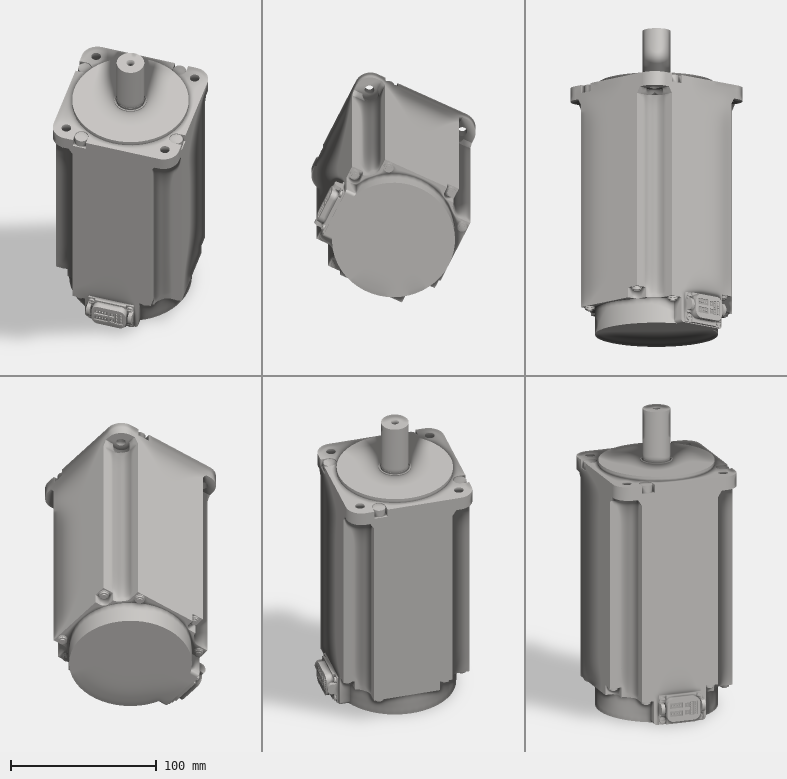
import cadquery as cq
import math

BODY_SIZE = 90.0
HALF = BODY_SIZE / 2
TOTAL_HEIGHT = 212.9
BODY_BOTTOM = 17.2
FLANGE_TOP = 172.8
FLANGE_THICKNESS = 9.6
FLANGE_BOTTOM = FLANGE_TOP - FLANGE_THICKNESS
CORNER_RADIUS = 11.0

PILOT_DIAMETER = 80.0
PILOT_HEIGHT = 3.1
PILOT_TOP = FLANGE_TOP + PILOT_HEIGHT
SHAFT_DIAMETER = 19.0
SEAL_DIAMETER = 22.4
SEAL_INNER_DIAMETER = 20.4
SEAL_HEIGHT = 0.7
SEAL_RECESS_DEPTH = 0.8
SHAFT_GROOVE_BASE = 1.6
SHAFT_GROOVE_WIDTH = 0.8
SHAFT_GROOVE_DEPTH = 0.15
CENTER_HOLE_DIAMETER = 2.6
CENTER_HOLE_DEPTH = 10.0
CENTER_SINK_DIAMETER = 5.6
CENTER_SINK_ANGLE = 60.0

BOLT_CIRCLE = 100.0
BOLT_HOLE_DIAMETER = 6.6
BOLT_OFFSET = BOLT_CIRCLE / 2 * math.sin(math.pi / 4)

FLUTE_WALL = 28.1
FLUTE_FACE_MIDDLE = 31.15
FLUTE_FILLET = 6.5
FLUTE_RUNOUT = 4.2
FLUTE_RUNOUT_INSET = 2.7
FLUTE_RUNOUT_RADIUS = 5.7
FLUTE_OVERRUN = 20.0

TOP_SCREW_OFFSET = 23.1
TOP_SCREW_RADIAL = 39.8
TOP_POCKET_WIDTH = 9.4
TOP_POCKET_DEPTH = 5.7
TOP_HEAD_DIAMETER = 9.0
TOP_HEAD_SINK = 0.4
REAR_SCREW_OFFSET = 23.4
REAR_SCREW_RADIAL = 40.9
REAR_POCKET_RADIUS = 4.2
REAR_POCKET_HEIGHT = 7.0
REAR_HEAD_STEPS = ((7.2, 0.8), (6.4, 1.1), (4.0, 0.8))

CAP_DIAMETER = 84.4
BASE_WIDTH = 38.0
BASE_INNER = 30.0
BASE_BOTTOM_FILLET = 2.2

PLATE_WIDTH = 32.4
PLATE_BOTTOM = 0.5
PLATE_TOP = 21.1
PLATE_THICKNESS = 2.8
PLATE_CENTER = (PLATE_TOP + PLATE_BOTTOM) / 2
PLATE_CORNER_WIDTH = 5.2
PLATE_CORNER_HEIGHT = 6.4
PLATE_CORNER_DEPTH = 1.6
CONNECTOR_SCREW_DIAMETER = 4.4
CONNECTOR_SCREW_HEIGHT = 1.4
CONNECTOR_SCREW_SLOT = 0.8
SHELL_WIDTH = 24.4
SHELL_BOTTOM = 3.3
SHELL_TOP = 19.8
SHELL_RADIUS = 4.8
SHELL_REACH = 7.5
LEVER_WIDTH = 2.6
LEVER_REACH = 7.65
LEVER_SHOULDER = 5.6
LEVER_BOTTOM = 8.3
LEVER_TOP = 16.2
SOCKET_DEPTH = 1.0
PIN_SIZE = 0.8
POWER_PIN_PITCH = 2.0
SIGNAL_PIN_PITCH = 1.5
SOCKETS = (
    (-10.2, -0.6, 12.7, 16.7, 4, 1, POWER_PIN_PITCH),
    (-10.2, -0.6, 6.9, 10.9, 4, 1, POWER_PIN_PITCH),
    (0.8, 4.0, 12.7, 16.0, 1, 1, POWER_PIN_PITCH),
    (0.8, 4.0, 7.5, 10.8, 1, 1, POWER_PIN_PITCH),
    (4.4, 7.1, 6.9, 16.7, 1, 6, SIGNAL_PIN_PITCH),
    (7.6, 10.3, 6.9, 16.7, 1, 6, SIGNAL_PIN_PITCH),
)


def cylinder(diameter, bottom, height, x=0.0, y=0.0):
    """Vertical cylinder standing on the height `bottom`."""
    return cq.Workplane("XY", origin=(x, y, bottom)).circle(diameter / 2).extrude(height)


def block(x_min, x_max, y_min, y_max, z_min, z_max):
    """Axis-aligned box between the given limits."""
    size = (x_max - x_min, y_max - y_min, z_max - z_min)
    return cq.Workplane("XY", origin=(x_min, y_min, z_min)).box(*size, centered=False)


def around(shape):
    """Union of four copies of a shape, a quarter turn apart about Z."""
    copies = shape
    for quarter in range(1, 4):
        copies = copies.union(shape.rotate((0, 0, 0), (0, 0, 1), 90 * quarter))
    return copies


def flute_cutter():
    """Corner flute: two walls and a filleted 45 degree face, ending in sloped walls at the top."""
    run = FLUTE_FILLET * math.sin(math.pi / 4)
    drop = FLUTE_FILLET - run
    face_near = FLUTE_WALL + drop
    face_far = 2 * FLUTE_FACE_MIDDLE - face_near
    arc_end = face_far + run
    mid_run = FLUTE_FILLET * math.sin(math.pi / 8)
    mid_drop = FLUTE_FILLET * (1 - math.cos(math.pi / 8))
    middle = (FLUTE_WALL + mid_drop, arc_end - mid_run)
    outside = HALF + FLUTE_OVERRUN
    runout_start = FLANGE_BOTTOM - FLUTE_RUNOUT
    straight = (
        cq.Workplane("XY", origin=(0, 0, BODY_BOTTOM))
        .moveTo(outside, outside)
        .lineTo(outside, FLUTE_WALL)
        .lineTo(arc_end, FLUTE_WALL)
        .threePointArc((middle[1], middle[0]), (face_far, face_near))
        .lineTo(face_near, face_far)
        .threePointArc(middle, (FLUTE_WALL, arc_end))
        .lineTo(FLUTE_WALL, outside)
        .close()
        .extrude(runout_start - BODY_BOTTOM)
    )
    taper = math.degrees(math.atan2(FLUTE_RUNOUT_INSET, FLUTE_RUNOUT))
    runout_size = outside - FLUTE_WALL
    runout_center = (outside + FLUTE_WALL) / 2
    runout = (
        cq.Workplane("XY", origin=(runout_center, runout_center, runout_start))
        .rect(runout_size, runout_size)
        .extrude(FLUTE_RUNOUT, taper=taper)
    )
    corner_center = FLUTE_WALL + FLUTE_RUNOUT_RADIUS
    corner = cylinder(2 * FLUTE_RUNOUT_RADIUS, runout_start, FLUTE_RUNOUT, corner_center, corner_center)
    return straight.union(runout).union(corner)


def top_pocket():
    """Round-ended flange pocket around a screw, open to the -Y side."""
    bottom = FLANGE_TOP - TOP_POCKET_DEPTH
    radius = TOP_POCKET_WIDTH / 2
    round_end = cylinder(TOP_POCKET_WIDTH, bottom, TOP_POCKET_DEPTH, -TOP_SCREW_OFFSET, -TOP_SCREW_RADIAL)
    opening = block(
        -TOP_SCREW_OFFSET - radius, -TOP_SCREW_OFFSET + radius,
        -HALF, -TOP_SCREW_RADIAL, bottom, FLANGE_TOP,
    )
    return round_end.union(opening)


def rear_pocket():
    """Notch with one rounded inner corner, open to the -Y side, the bottom and the corner flute."""
    radius = REAR_POCKET_RADIUS
    return block(
        REAR_SCREW_OFFSET - radius, FLUTE_WALL + radius, -HALF - radius, -REAR_SCREW_RADIAL + radius,
        BODY_BOTTOM, BODY_BOTTOM + REAR_POCKET_HEIGHT,
    ).edges("|Z and <X and >Y").fillet(radius)


def make_housing():
    """Square flange and fluted body in one piece, with mounting holes and screw pockets."""
    housing = block(-HALF, HALF, -HALF, HALF, BODY_BOTTOM, FLANGE_TOP)
    housing = housing.edges("|Z").fillet(CORNER_RADIUS)
    housing = housing.cut(around(flute_cutter()))
    hole = cylinder(BOLT_HOLE_DIAMETER, BODY_BOTTOM, FLANGE_TOP - BODY_BOTTOM, BOLT_OFFSET, BOLT_OFFSET)
    housing = housing.cut(around(hole))
    return housing.cut(around(top_pocket())).cut(around(rear_pocket()))


def rear_head(x, seat):
    """Stepped screw head hanging below the height `seat`."""
    head = None
    bottom = seat
    for diameter, height in REAR_HEAD_STEPS:
        bottom -= height
        step = cylinder(diameter, bottom, height, x, -REAR_SCREW_RADIAL)
        head = step if head is None else head.union(step)
    return head


def make_screws():
    """Flange screws, and the rear screws both in their pockets and below the body."""
    top_head = cylinder(
        TOP_HEAD_DIAMETER, FLANGE_TOP - TOP_POCKET_DEPTH, TOP_POCKET_DEPTH - TOP_HEAD_SINK,
        -TOP_SCREW_OFFSET, -TOP_SCREW_RADIAL,
    )
    pocket_head = rear_head(REAR_SCREW_OFFSET, BODY_BOTTOM + REAR_POCKET_HEIGHT)
    lower_head = rear_head(-REAR_SCREW_OFFSET, BODY_BOTTOM)
    return around(top_head).union(around(pocket_head)).union(around(lower_head))


def make_pilot_and_shaft():
    """Round pilot, shaft seal ring and the shaft with its centre hole."""
    pilot = cylinder(PILOT_DIAMETER, FLANGE_TOP, PILOT_HEIGHT)
    seal = cylinder(SEAL_DIAMETER, PILOT_TOP, SEAL_HEIGHT)
    gap_bottom = PILOT_TOP - SEAL_RECESS_DEPTH
    gap = cylinder(SEAL_INNER_DIAMETER, gap_bottom, SEAL_RECESS_DEPTH + SEAL_HEIGHT)
    shaft = cylinder(SHAFT_DIAMETER, FLANGE_TOP, TOTAL_HEIGHT - FLANGE_TOP)
    groove_bottom = PILOT_TOP + SHAFT_GROOVE_BASE
    groove = cylinder(SHAFT_DIAMETER, groove_bottom, SHAFT_GROOVE_WIDTH).cut(
        cylinder(SHAFT_DIAMETER - 2 * SHAFT_GROOVE_DEPTH, groove_bottom, SHAFT_GROOVE_WIDTH)
    )
    shaft = shaft.cut(groove).faces(">Z").workplane()
    shaft = shaft.cskHole(CENTER_HOLE_DIAMETER, CENTER_SINK_DIAMETER, CENTER_SINK_ANGLE, CENTER_HOLE_DEPTH)
    return pilot.union(seal).cut(gap).union(shaft)


def make_cap():
    """Round rear cap with the flat-faced base that carries the connector."""
    cap = cylinder(CAP_DIAMETER, 0, BODY_BOTTOM)
    base = block(-BASE_WIDTH / 2, BASE_WIDTH / 2, -HALF, -BASE_INNER, 0, BODY_BOTTOM)
    base = base.edges("|Y and <Z").fillet(BASE_BOTTOM_FILLET)
    return cap.union(base)


def front_disc(diameter, x, y, z, length):
    """Cylinder growing toward -Y from the plane at `y`."""
    return cq.Workplane("XZ", origin=(x, y, z)).circle(diameter / 2).extrude(length)


def make_plate():
    """Connector plate with a lowered corner and a slotted screw at each corner."""
    half_width = PLATE_WIDTH / 2
    half_height = PLATE_TOP - PLATE_CENTER
    front = -HALF - PLATE_THICKNESS
    seat = front + PLATE_CORNER_DEPTH
    plate = block(-half_width, half_width, front, -HALF, PLATE_BOTTOM, PLATE_TOP)
    for side in (-1, 1):
        for level in (-1, 1):
            x = side * (half_width - PLATE_CORNER_WIDTH / 2)
            z = PLATE_CENTER + level * (half_height - PLATE_CORNER_HEIGHT / 2)
            corner = cq.Workplane("XZ", origin=(x, seat, z)).rect(PLATE_CORNER_WIDTH, PLATE_CORNER_HEIGHT)
            plate = plate.cut(corner.extrude(PLATE_CORNER_DEPTH))
            screw = front_disc(CONNECTOR_SCREW_DIAMETER, x, seat, z, CONNECTOR_SCREW_HEIGHT)
            slot_plane = cq.Workplane("XZ", origin=(x, seat - CONNECTOR_SCREW_HEIGHT / 2, z))
            slot = slot_plane.rect(CONNECTOR_SCREW_DIAMETER, CONNECTOR_SCREW_SLOT)
            plate = plate.union(screw.cut(slot.extrude(CONNECTOR_SCREW_HEIGHT)))
    return plate


def socket_cutter(x_min, x_max, z_min, z_max, columns, rows, pitch):
    """Cutter for a contact recess in the shell front that leaves a grid of square pins."""
    front = -HALF - SHELL_REACH
    recess = block(x_min, x_max, front, front + SOCKET_DEPTH, z_min, z_max)
    pins = (
        cq.Workplane("XZ", origin=((x_min + x_max) / 2, front + SOCKET_DEPTH, (z_min + z_max) / 2))
        .rarray(pitch, pitch, columns, rows)
        .rect(PIN_SIZE, PIN_SIZE)
        .extrude(SOCKET_DEPTH)
    )
    return recess.cut(pins)


def make_shell():
    """Rounded connector shell with its contact recesses."""
    center = (SHELL_TOP + SHELL_BOTTOM) / 2
    shell = (
        cq.Workplane("XZ", origin=(0, -HALF, center))
        .rect(SHELL_WIDTH, SHELL_TOP - SHELL_BOTTOM)
        .extrude(SHELL_REACH)
        .edges("|Y")
        .fillet(SHELL_RADIUS)
    )
    for limits in SOCKETS:
        shell = shell.cut(socket_cutter(*limits))
    return shell


def make_levers():
    """Locking lever at each side of the shell, with a rounded front end."""
    middle = (LEVER_TOP + LEVER_BOTTOM) / 2
    lever = (
        cq.Workplane("YZ", origin=(-PLATE_WIDTH / 2, 0, 0))
        .moveTo(-HALF, LEVER_BOTTOM)
        .lineTo(-HALF - LEVER_SHOULDER, LEVER_BOTTOM)
        .threePointArc((-HALF - LEVER_REACH, middle), (-HALF - LEVER_SHOULDER, LEVER_TOP))
        .lineTo(-HALF, LEVER_TOP)
        .close()
        .extrude(LEVER_WIDTH)
    )
    return lever.union(lever.mirror("YZ"))


result = make_housing()
for piece in (make_pilot_and_shaft(), make_screws(), make_cap(), make_plate(), make_shell(), make_levers()):
    result = result.union(piece)